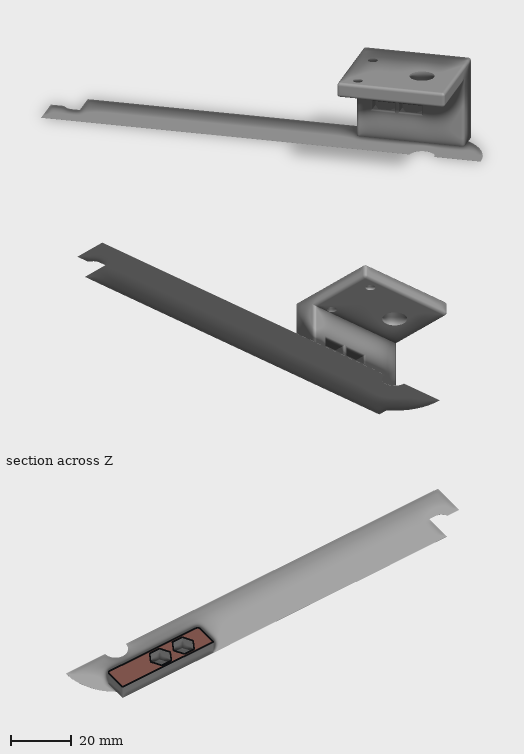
import cadquery as cq
import math


BLADE_WIDTH = 20.1
BLADE_LENGTH = 150.52
BLADE_THICKNESS = 0.05
BLADE_LEFT = BLADE_WIDTH - BLADE_LENGTH
HOOK_LENGTH = 10.5
HOOK_TIP_LENGTH = 4.4
HOOK_TIP_HEIGHT = 12.2
HOOK_THROAT_HEIGHT = 10.0
HOOK_THROAT_RADIUS = 3.0
HOOK_RAMP_ANGLE = math.radians(45)

BRACKET_LEFT = -25.55
BRACKET_WIDTH = 36.9
BRACKET_DEPTH = 33.7
BRACKET_TOP = 28.3
BRACKET_REAR = BLADE_WIDTH
BRACKET_FRONT = BRACKET_REAR - BRACKET_DEPTH
PLATE_THICKNESS = 5.0
PLATE_UNDERSIDE = BRACKET_TOP - PLATE_THICKNESS
LEG_THICKNESS = 8.75
LEG_FRONT = BRACKET_REAR - LEG_THICKNESS
EDGE_RADIUS = 1.0

PIVOT_DIAMETER = 8.3
SCREW_DIAMETER = 3.3
SCREW_X = -19.4
SCREW_Y = 9.5

NUT_COUNT = 2
NUT_ACROSS_FLATS = 6.7
NUT_ACROSS_CORNERS = NUT_ACROSS_FLATS / math.cos(math.pi / 6)
NUT_PITCH = 9.25
FIRST_NUT_X = BRACKET_LEFT + 9.2
NUT_Y = BRACKET_REAR - LEG_THICKNESS / 2
SLOT_FLOOR = 10.0
SLOT_HEIGHT = 3.0
SLOT_CEILING = SLOT_FLOOR + SLOT_HEIGHT
SLOT_DEPTH = NUT_Y - LEG_FRONT
MOUTH_RADIUS = 0.5

TOLERANCE = 0.01


def make_blade():
    hook_root = BLADE_LEFT + HOOK_LENGTH
    hook_tip = BLADE_LEFT + HOOK_TIP_LENGTH

    arc_rise = HOOK_THROAT_RADIUS * (1 - math.cos(HOOK_RAMP_ANGLE))
    ramp_end_y = HOOK_THROAT_HEIGHT + arc_rise
    ramp_end_x = hook_tip + (HOOK_TIP_HEIGHT - ramp_end_y) / math.tan(HOOK_RAMP_ANGLE)
    throat_x = ramp_end_x + HOOK_THROAT_RADIUS * math.sin(HOOK_RAMP_ANGLE)
    half_angle = HOOK_RAMP_ANGLE / 2
    arc_middle = (
        throat_x - HOOK_THROAT_RADIUS * math.sin(half_angle),
        HOOK_THROAT_HEIGHT + HOOK_THROAT_RADIUS * (1 - math.cos(half_angle)),
    )

    end_middle = BLADE_WIDTH * math.sqrt(0.5)
    return (
        cq.Workplane("XY")
        .moveTo(BLADE_LEFT, 0)
        .lineTo(BLADE_WIDTH, 0)
        .threePointArc((end_middle, end_middle), (0, BLADE_WIDTH))
        .lineTo(hook_root, BLADE_WIDTH)
        .lineTo(hook_root, HOOK_THROAT_HEIGHT)
        .lineTo(throat_x, HOOK_THROAT_HEIGHT)
        .threePointArc(arc_middle, (ramp_end_x, ramp_end_y))
        .lineTo(hook_tip, HOOK_TIP_HEIGHT)
        .lineTo(BLADE_LEFT, HOOK_TIP_HEIGHT)
        .close()
        .extrude(BLADE_THICKNESS)
    )


def is_rounded(edge):
    """True except on the rear face, on the bottom face and in the inner corner."""
    middle = edge.Center()
    on_rear = middle.y > BRACKET_REAR - TOLERANCE
    on_bottom = middle.z < TOLERANCE
    in_corner = abs(middle.y - LEG_FRONT) < TOLERANCE and abs(middle.z - PLATE_UNDERSIDE) < TOLERANCE
    return not (on_rear or on_bottom or in_corner)


def make_bracket():
    side_profile = [
        (BRACKET_REAR, 0),
        (BRACKET_REAR, BRACKET_TOP),
        (BRACKET_FRONT, BRACKET_TOP),
        (BRACKET_FRONT, PLATE_UNDERSIDE),
        (LEG_FRONT, PLATE_UNDERSIDE),
        (LEG_FRONT, 0),
    ]
    block = (
        cq.Workplane("YZ", origin=(BRACKET_LEFT, 0, 0))
        .polyline(side_profile)
        .close()
        .extrude(BRACKET_WIDTH)
    )
    rounded_edges = [edge for edge in block.edges().vals() if is_rounded(edge)]
    return block.newObject(rounded_edges).fillet(EDGE_RADIUS)


def cut_nut_trap(body, nut_x):
    slot = cq.Workplane("XY").box(
        NUT_ACROSS_CORNERS, SLOT_DEPTH, SLOT_HEIGHT, centered=(True, False, False)
    )
    body = body.cut(slot.translate((nut_x, LEG_FRONT, SLOT_FLOOR)))

    reach = NUT_ACROSS_CORNERS / 2 + TOLERANCE
    mouth = cq.selectors.BoxSelector(
        (nut_x - reach, LEG_FRONT - TOLERANCE, SLOT_FLOOR - TOLERANCE),
        (nut_x + reach, LEG_FRONT + TOLERANCE, SLOT_CEILING + TOLERANCE),
    )
    body = body.edges(mouth).fillet(MOUTH_RADIUS)

    pocket = (
        cq.Workplane("XY", origin=(nut_x, NUT_Y, BLADE_THICKNESS))
        .polygon(6, NUT_ACROSS_CORNERS)
        .extrude(SLOT_CEILING - BLADE_THICKNESS)
    )
    return body.cut(pocket)


def cut_screw_holes(body):
    holes = (
        cq.Workplane("XY", origin=(SCREW_X, 0, PLATE_UNDERSIDE))
        .pushPoints([(0, SCREW_Y), (0, -SCREW_Y)])
        .circle(SCREW_DIAMETER / 2)
        .extrude(PLATE_THICKNESS)
    )
    return body.cut(holes)


def cut_pivot_hole(body):
    """Bore the plate, and leave a half-round notch where the bore meets the blade's edge."""
    bore = cq.Workplane("XY").circle(PIVOT_DIAMETER / 2).extrude(BRACKET_TOP)
    return body.cut(bore)


bracket = make_bracket()
for index in range(NUT_COUNT):
    bracket = cut_nut_trap(bracket, FIRST_NUT_X + index * NUT_PITCH)
bracket = cut_screw_holes(bracket)

result = cut_pivot_hole(make_blade().union(bracket))